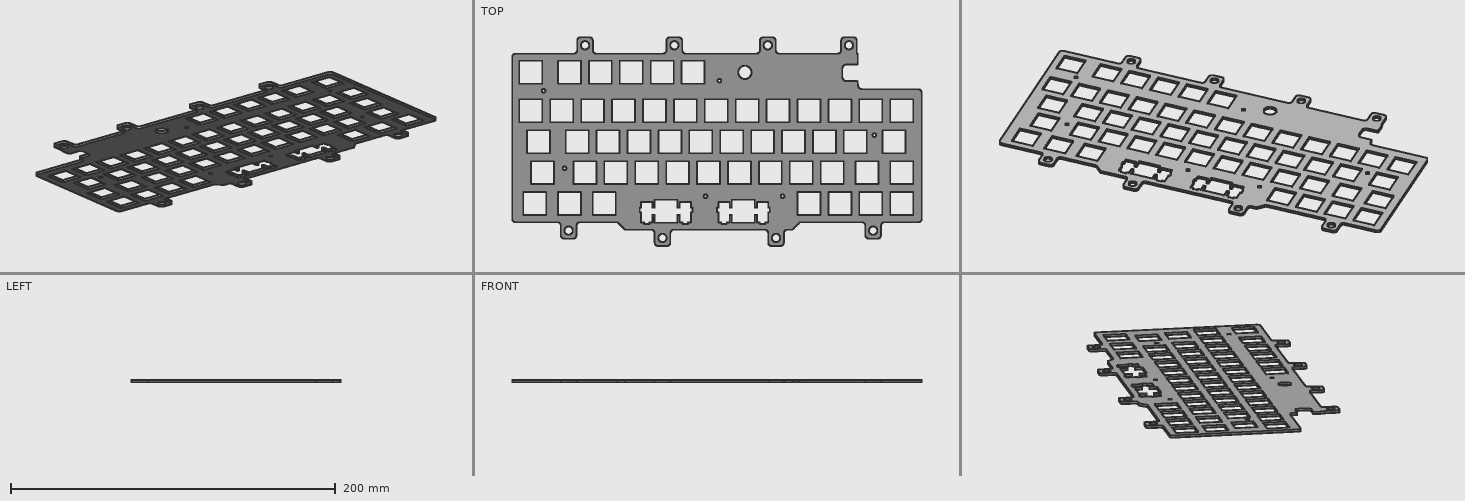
import cadquery as cq
import math

length = 252.6
width = 128.9
thickness = 1.6

tab_width = 9.9
tab_length = 10.0
tab_tip_radius = 2.3
tab_root_radius = 2.0
tab_hole_diameter = 5.0
tab_hole_from_tip = 5.0

bulge_y = tab_length
bulge_depth = 4.5
lower_edge_y = bulge_y + bulge_depth
upper_edge_y = width - tab_length
shoulder_y = 96.8
step_x = 213.2
bulge_left_x = 69.5
bulge_right_x = 172.8
plate_corner_radius = 2.3
shoulder_root_radius = 2.8

upper_tab_xs = [45.0, 100.0, 157.7, 207.7]
bulge_tab_xs = [92.7, 162.7]
left_lower_tab_x = 34.9
right_lower_tab_x = 222.5

notch_x = 203.6
notch_height = 10.0
notch_center_y = 106.9
notch_corner_radius = 2.5
notch_mouth_radius = 0.8

grid_pitches = 12
grid_span = 228.6
pitch = grid_span / grid_pitches
steps_per_pitch = 8
grid_step = pitch / steps_per_pitch
web_between_keys = 5.0
key_size = pitch - web_between_keys
left_margin = 4.5
first_key_x = left_margin + key_size / 2
bottom_row_y = 26.3

stabilizer_offset = 12.0
stabilizer_width = 6.8
stabilizer_top = 5.5
stabilizer_bottom = 6.8
foot_width = 3.3
foot_bottom = 7.8
side_slot_reach = 16.2
side_slot_top = 2.3
side_slot_bottom = 0.5
bridge_height = 4.5

large_hole_diameter = 8.0
large_hole_center = (143.5, 107.0)
small_hole_diameter = 2.2
small_hole_centers = [
    (19.5, 95.8),
    (127.8, 102.0),
    (32.3, 48.0),
    (119.3, 30.8),
    (166.7, 30.8),
    (223.3, 68.5),
]


def rounded_outline(corners):
    """Closed wire through (x, y, radius) corners, each rounded by a tangent arc."""
    path = None
    for i, (x, y, radius) in enumerate(corners):
        before = cq.Vector(*corners[i - 1][:2])
        after = cq.Vector(*corners[(i + 1) % len(corners)][:2])
        corner = cq.Vector(x, y)
        to_before = (before - corner).normalized()
        to_after = (after - corner).normalized()
        half_angle = to_before.getAngle(to_after) / 2
        setback = radius / math.tan(half_angle)
        arc_start = corner + to_before * setback
        arc_end = corner + to_after * setback
        if path is None:
            path = cq.Workplane("XY").moveTo(arc_start.x, arc_start.y)
        else:
            path = path.lineTo(arc_start.x, arc_start.y)
        if radius > 0:
            bisector = (to_before + to_after).normalized()
            arc_middle = corner + bisector * (radius / math.sin(half_angle) - radius)
            path = path.threePointArc((arc_middle.x, arc_middle.y), (arc_end.x, arc_end.y))
    return path.close()


def tab_corners(x, edge_y, direction):
    """Corners of a tab, left to right; direction is +1 for an upper and -1 for a lower tab."""
    left = x - tab_width / 2
    right = x + tab_width / 2
    tip_y = edge_y + direction * tab_length
    return [
        (left, edge_y, tab_root_radius),
        (left, tip_y, tab_tip_radius),
        (right, tip_y, tab_tip_radius),
        (right, edge_y, tab_root_radius),
    ]


def lower_outline():
    """Corners along the lower edge, left to right."""
    corners = [(0, lower_edge_y, plate_corner_radius)]
    corners += tab_corners(left_lower_tab_x, lower_edge_y, -1)
    corners += [
        (bulge_left_x - bulge_depth, lower_edge_y, 0),
        (bulge_left_x, bulge_y, 0),
    ]
    for x in bulge_tab_xs:
        corners += tab_corners(x, bulge_y, -1)
    corners += [
        (bulge_right_x, bulge_y, 0),
        (bulge_right_x + bulge_depth, lower_edge_y, 0),
    ]
    corners += tab_corners(right_lower_tab_x, lower_edge_y, -1)
    corners.append((length, lower_edge_y, plate_corner_radius))
    return corners


def upper_outline():
    """Corners along the upper edge, left to right."""
    corners = [(0, upper_edge_y, plate_corner_radius)]
    for x in upper_tab_xs[:-1]:
        corners += tab_corners(x, upper_edge_y, 1)
    *last_tab, (ledge_x, ledge_y, _) = tab_corners(upper_tab_xs[-1], upper_edge_y, 1)
    corners += last_tab
    notch_top = notch_center_y + notch_height / 2
    notch_bottom = notch_center_y - notch_height / 2
    corners += [
        (ledge_x, ledge_y, 0),
        (step_x, ledge_y, 0),
        (step_x, notch_top, notch_mouth_radius),
        (notch_x, notch_top, notch_corner_radius),
        (notch_x, notch_bottom, notch_corner_radius),
        (step_x, notch_bottom, notch_mouth_radius),
        (step_x, shoulder_y, shoulder_root_radius),
        (length, shoulder_y, plate_corner_radius),
    ]
    return corners


def key_center(column, row):
    """Centre of a key, counted in grid steps from the lower left of the grid."""
    return (first_key_x + column * grid_step, bottom_row_y + row * grid_step)


def key_run(first, count):
    """Columns of neighbouring keys, one pitch apart."""
    return [first + i * steps_per_pitch for i in range(count)]


def cutter():
    """Empty workplane on the underside of the plate."""
    return cq.Workplane("XY")


def block(left, right, bottom, top):
    """Cutting block through the plate between the given limits."""
    center = ((left + right) / 2, (bottom + top) / 2)
    return cutter().pushPoints([center]).rect(right - left, top - bottom).extrude(thickness)


def hole_cutter(centers, diameter):
    """Round cutters through the plate at the given centres."""
    return cutter().pushPoints(centers).circle(diameter / 2).extrude(thickness)


def stabilizer_cutter():
    """Cutout for a wide key, centred on the origin: switch, bridge and two stabilizer pockets."""
    half_key = key_size / 2
    cut = block(-half_key, half_key, -half_key, half_key)
    cut = cut.union(
        block(-stabilizer_offset, stabilizer_offset, -bridge_height / 2, bridge_height / 2)
    )
    cut = cut.union(
        block(-side_slot_reach, side_slot_reach, -side_slot_bottom, side_slot_top)
    )
    for x in (-stabilizer_offset, stabilizer_offset):
        half_pocket = stabilizer_width / 2
        half_foot = foot_width / 2
        cut = cut.union(
            block(x - half_pocket, x + half_pocket, -stabilizer_bottom, stabilizer_top)
        )
        cut = cut.union(block(x - half_foot, x + half_foot, -foot_bottom, 0))
    return cut


key_rows = {
    34: [0] + key_run(10, 5),
    24: key_run(0, 13),
    16: [2] + key_run(12, 10) + [94],
    8: [3] + key_run(14, 9) + [87, 96],
    0: [1, 10, 19] + key_run(72, 4),
}
wide_key_row = -2
wide_key_columns = [35, 55]

plate = rounded_outline(lower_outline() + upper_outline()[::-1]).extrude(thickness)

key_centers = [key_center(column, row) for row, columns in key_rows.items() for column in columns]
plate = plate.cut(cutter().pushPoints(key_centers).rect(key_size, key_size).extrude(thickness))

for column in wide_key_columns:
    x, y = key_center(column, wide_key_row)
    plate = plate.cut(stabilizer_cutter().translate((x, y, 0)))

side_tab_hole_y = lower_edge_y - tab_length + tab_hole_from_tip
tab_hole_centers = [(x, width - tab_hole_from_tip) for x in upper_tab_xs]
tab_hole_centers += [(x, tab_hole_from_tip) for x in bulge_tab_xs]
tab_hole_centers += [(x, side_tab_hole_y) for x in (left_lower_tab_x, right_lower_tab_x)]
plate = plate.cut(hole_cutter(tab_hole_centers, tab_hole_diameter))

plate = plate.cut(hole_cutter([large_hole_center], large_hole_diameter))
plate = plate.cut(hole_cutter(small_hole_centers, small_hole_diameter))

result = plate